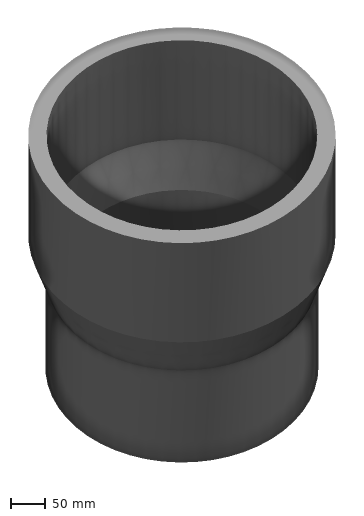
import cadquery as cq

total_height = 475.0
spigot_length = 189.0
socket_length = 204.0

socket_outer_diameter = 450.0
socket_bore_diameter = 396.0
spigot_outer_diameter = 400.0
spigot_bore_diameter = 352.5

taper_bottom = spigot_length
taper_top = total_height - socket_length


def stepped_body(spigot_diameter, socket_diameter):
    """Solid of revolution about Z: spigot, conical taper, then socket."""
    spigot_radius = spigot_diameter / 2
    socket_radius = socket_diameter / 2
    profile = [
        (0, 0),
        (spigot_radius, 0),
        (spigot_radius, taper_bottom),
        (socket_radius, taper_top),
        (socket_radius, total_height),
        (0, total_height),
    ]
    return (
        cq.Workplane("XZ")
        .polyline(profile)
        .close()
        .revolve(360, (0, 0, 0), (0, 1, 0))
    )


outer_body = stepped_body(spigot_outer_diameter, socket_outer_diameter)
bore = stepped_body(spigot_bore_diameter, socket_bore_diameter)
result = outer_body.cut(bore)